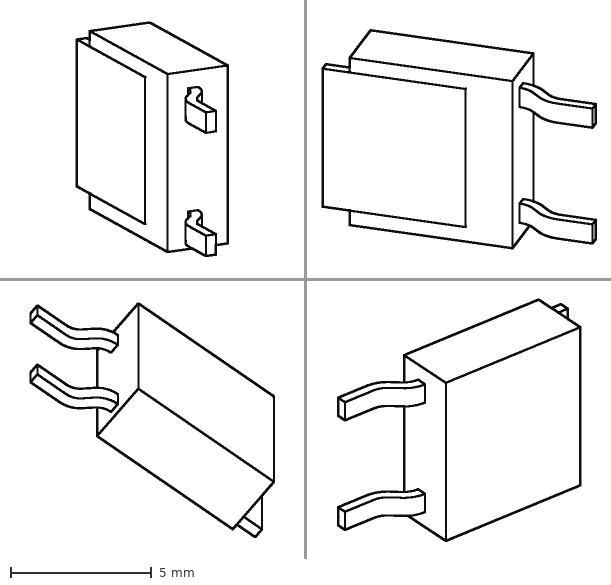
import cadquery as cq
import math


body_length = 6.1
body_depth = 2.4
body_height = 6.6

sheet_thickness = 0.4
tab_overhang = 1.01
tab_length = 5.35
tab_height = 5.45

lead_width = 0.76
lead_pitch = 4.57
lead_reach = 2.99
foot_length = 1.3
lead_drop = 0.81
inner_bend_radius = 0.81
bend_angle = 42.0

outer_bend_radius = inner_bend_radius + sheet_thickness
bend_sin = math.sin(math.radians(bend_angle))
bend_cos = math.cos(math.radians(bend_angle))
bends_drop = (inner_bend_radius + outer_bend_radius) * (1 - bend_cos)
slope_length = (lead_drop - bends_drop) / bend_sin
bends_run = (inner_bend_radius + outer_bend_radius) * bend_sin + slope_length * bend_cos
lead_tip_x = body_length + lead_reach
foot_start_x = lead_tip_x - foot_length
stub_end_x = foot_start_x - bends_run


def make_tab():
    """Flat plate that overhangs the -X end of the body."""
    plate = cq.Workplane("XY").box(
        tab_length, sheet_thickness, tab_height, centered=(False, False, True)
    )
    return plate.translate((-tab_overhang, 0, 0))


def make_body(tab):
    """Plain block with a recess that the tab fills."""
    block = cq.Workplane("XY").box(
        body_length, body_depth, body_height, centered=(False, False, True)
    )
    return block.cut(tab)


def bend_point(center, radius, angle):
    """Point on a bend, at an angle in degrees measured from +Y towards +X."""
    turn = math.radians(angle)
    return (center[0] + radius * math.sin(turn), center[1] + radius * math.cos(turn))


def make_lead(center_z):
    """S-bent strip from the +X face of the body down to the mounting plane."""
    upper_center = (stub_end_x, lead_drop - inner_bend_radius)
    lower_center = (foot_start_x, outer_bend_radius)
    half_bend = bend_angle / 2
    lower_start = 180 + bend_angle
    lower_middle = 180 + half_bend
    profile = (
        cq.Workplane("XY", origin=(0, 0, center_z))
        .moveTo(body_length, lead_drop)
        .lineTo(stub_end_x, lead_drop)
        .threePointArc(
            bend_point(upper_center, inner_bend_radius, half_bend),
            bend_point(upper_center, inner_bend_radius, bend_angle),
        )
        .lineTo(*bend_point(lower_center, outer_bend_radius, lower_start))
        .threePointArc(
            bend_point(lower_center, outer_bend_radius, lower_middle),
            (foot_start_x, 0),
        )
        .lineTo(lead_tip_x, 0)
        .lineTo(lead_tip_x, sheet_thickness)
        .lineTo(foot_start_x, sheet_thickness)
        .threePointArc(
            bend_point(lower_center, inner_bend_radius, lower_middle),
            bend_point(lower_center, inner_bend_radius, lower_start),
        )
        .lineTo(*bend_point(upper_center, outer_bend_radius, bend_angle))
        .threePointArc(
            bend_point(upper_center, outer_bend_radius, half_bend),
            (stub_end_x, lead_drop + sheet_thickness),
        )
        .lineTo(body_length, lead_drop + sheet_thickness)
        .close()
    )
    return profile.extrude(lead_width / 2, both=True)


tab = make_tab()
body = make_body(tab)
leads = [make_lead(side * lead_pitch / 2) for side in (-1, 1)]

result = cq.Compound.makeCompound([body.val(), tab.val(), *[lead.val() for lead in leads]])